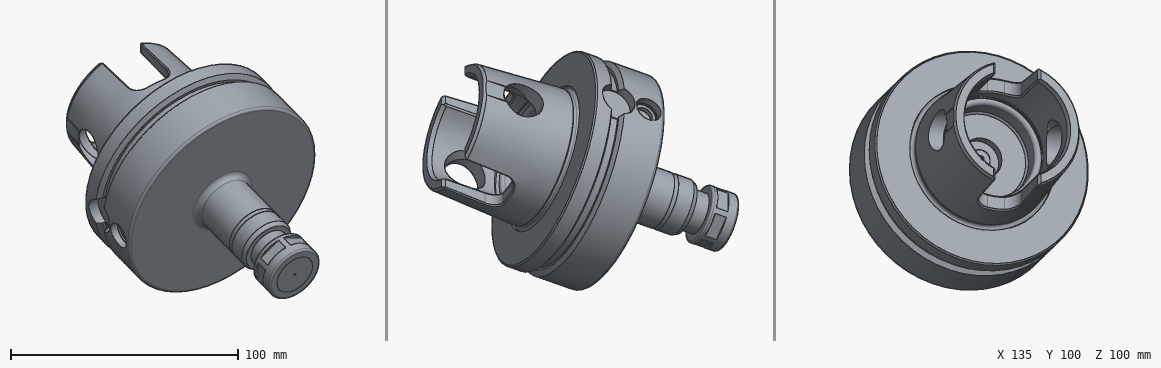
import cadquery as cq
import math


CUT_CLEARANCE = 1.4

MOUTH_RADIUS = 28.8
MOUTH_CHAMFER_LENGTH = 1.5
TAPER_SMALL_RADIUS = 29.5
TAPER_LARGE_RADIUS = 32.0
TAPER_END = 42.9
NECK_RADIUS = 31.5
NECK_START = 43.5

BORE_RADIUS = 24.2
BORE_CHAMFER = 0.8
BORE_CHAMFER_LENGTH = 2.2
BORE_END = 33.1
UNDERCUT_RADIUS = 25.5
LIP_OUTER_RADIUS = 24.8
LIP_INNER_RADIUS = 21.3
LIP_CREST = 35.1
CAVITY_FLOOR = 45.0
FLOOR_CHAMFER = 1.0

CROSS_HOLE_DIAMETER = 18.5
CROSS_HOLE_X = 19.3
CROSS_RELIEF_X = 18.1
CROSS_RELIEF_INNER_DIAMETER = 21.2
CROSS_RELIEF_OUTER_DIAMETER = 15.9
CROSS_RELIEF_START = 21.6
CROSS_RELIEF_END = 29.0
FLAT_WIDTH = 8.6
FLAT_OFFSET = 29.3
SLOT_WIDTH = 20.0
SLOT_END = 27.1
SLOT_CORNER_RADIUS = 6.1
SLOT_MOUTH_WIDENING = 1.2
SLOT_EDGE_CHAMFER = 0.7
EDGE_MARGIN = 0.1

FLANGE_DIAMETER = 100.0
FLANGE_START = 45.0
FLANGE_END = 79.1
FLANGE_CHAMFER = 0.7
FLANGE_EDGE_RADIUS = 1.2
FACE_GROOVE_RADIUS = 33.9
FACE_GROOVE_FILLET = 1.6
GRIP_GROOVE_START = 52.8
GRIP_GROOVE_END = 59.1
GRIP_GROOVE_SLOPE_LENGTH = 1.4
GRIP_GROOVE_SLOPE_RADIUS = 47.5
GRIP_GROOVE_RADIUS = 46.3

INDEX_HOLE_DIAMETER = 16.0
INDEX_HOLE_X = 56.2
INDEX_FLOOR_OFFSET = 45.1
DATA_HOLE_X = 71.0
DATA_HOLE_STEPS = ((12.0, 3.5), (11.2, 4.3), (8.0, 6.2))

STEM_DIAMETER = 26.0
STEM_ROOT_FILLET = 2.7
STEM_END = 114.9
STEM_CHAMFER_LENGTH = 2.2
STEM_CHAMFER_DEPTH = 1.1
STEM_GROOVE_START = 103.1
STEM_GROOVE_END = 105.2
STEM_GROOVE_DEPTH = 0.1
SPIGOT_DIAMETER = 19.0
TOTAL_LENGTH = 135.0

FLOOR_RECESS_DIAMETER = 18.5
FLOOR_RECESS_DEPTH = 4.0
BOSS_DIAMETER = 9.3
BOSS_TOP_DIAMETER = 8.8
BOSS_HEIGHT = 2.0
COOLANT_DIAMETER = 1.1
COOLANT_ENTRY_DIAMETER = 3.0
COOLANT_ENTRY_RIM_DIAMETER = 3.5
COOLANT_ENTRY_DEPTH = 1.4

NUT_DIAMETER = 26.9
NUT_START = 122.0
NUT_EDGE_RADIUS = 1.0
NUT_FLAT_COUNT = 6
NUT_FLAT_START = 124.3
NUT_FLAT_END = 129.9
NUT_FLAT_WIDTH = 11.1


def axial_cylinder(diameter, start, end):
    return cq.Workplane("YZ", origin=(start, 0, 0)).circle(diameter / 2).extrude(end - start)


def axial_cone(start_diameter, end_diameter, start, end):
    outline = cq.Workplane("XY").moveTo(start, 0).lineTo(start, start_diameter / 2)
    outline = outline.lineTo(end, end_diameter / 2).lineTo(end, 0).close()
    return outline.revolve(360, (0, 0, 0), (1, 0, 0))


def shank_and_stem():
    flange_radius = FLANGE_DIAMETER / 2
    stem_radius = STEM_DIAMETER / 2
    groove_radius = stem_radius - STEM_GROOVE_DEPTH
    groove_floor = FLANGE_START + FACE_GROOVE_FILLET
    arc_reach = 1 - math.sqrt(0.5)
    outline = (
        cq.Workplane("XY")
        .moveTo(0, 0)
        .lineTo(0, MOUTH_RADIUS)
        .lineTo(MOUTH_CHAMFER_LENGTH, TAPER_SMALL_RADIUS)
        .lineTo(TAPER_END, TAPER_LARGE_RADIUS)
        .lineTo(NECK_START, NECK_RADIUS)
        .lineTo(FLANGE_START, NECK_RADIUS)
        .threePointArc(
            (groove_floor - FACE_GROOVE_FILLET * arc_reach, NECK_RADIUS + FACE_GROOVE_FILLET * arc_reach),
            (groove_floor, NECK_RADIUS + FACE_GROOVE_FILLET),
        )
        .lineTo(groove_floor, FACE_GROOVE_RADIUS)
        .lineTo(FLANGE_START, FACE_GROOVE_RADIUS)
        .lineTo(FLANGE_START, flange_radius - FLANGE_CHAMFER)
        .lineTo(FLANGE_START + FLANGE_CHAMFER, flange_radius)
        .lineTo(GRIP_GROOVE_START, flange_radius)
        .lineTo(GRIP_GROOVE_START + GRIP_GROOVE_SLOPE_LENGTH, GRIP_GROOVE_SLOPE_RADIUS)
        .lineTo(GRIP_GROOVE_START + GRIP_GROOVE_SLOPE_LENGTH, GRIP_GROOVE_RADIUS)
        .lineTo(GRIP_GROOVE_END - GRIP_GROOVE_SLOPE_LENGTH, GRIP_GROOVE_RADIUS)
        .lineTo(GRIP_GROOVE_END - GRIP_GROOVE_SLOPE_LENGTH, GRIP_GROOVE_SLOPE_RADIUS)
        .lineTo(GRIP_GROOVE_END, flange_radius)
        .lineTo(FLANGE_END - FLANGE_EDGE_RADIUS, flange_radius)
        .threePointArc(
            (FLANGE_END - FLANGE_EDGE_RADIUS * arc_reach, flange_radius - FLANGE_EDGE_RADIUS * arc_reach),
            (FLANGE_END, flange_radius - FLANGE_EDGE_RADIUS),
        )
        .lineTo(FLANGE_END, stem_radius + STEM_ROOT_FILLET)
        .threePointArc(
            (FLANGE_END + STEM_ROOT_FILLET * arc_reach, stem_radius + STEM_ROOT_FILLET * arc_reach),
            (FLANGE_END + STEM_ROOT_FILLET, stem_radius),
        )
        .lineTo(STEM_GROOVE_START, stem_radius)
        .lineTo(STEM_GROOVE_START, groove_radius)
        .lineTo(STEM_GROOVE_END, groove_radius)
        .lineTo(STEM_GROOVE_END, stem_radius)
        .lineTo(STEM_END - STEM_CHAMFER_LENGTH, stem_radius)
        .lineTo(STEM_END, stem_radius - STEM_CHAMFER_DEPTH)
        .lineTo(STEM_END, SPIGOT_DIAMETER / 2)
        .lineTo(TOTAL_LENGTH, SPIGOT_DIAMETER / 2)
        .lineTo(TOTAL_LENGTH, 0)
        .close()
    )
    return outline.revolve(360, (0, 0, 0), (1, 0, 0))


def cavity():
    lip_radius = (LIP_OUTER_RADIUS - LIP_INNER_RADIUS) / 2
    outline = (
        cq.Workplane("XY")
        .moveTo(0, 0)
        .lineTo(0, BORE_RADIUS + BORE_CHAMFER)
        .lineTo(BORE_CHAMFER_LENGTH, BORE_RADIUS)
        .lineTo(BORE_END, BORE_RADIUS)
        .lineTo(BORE_END + UNDERCUT_RADIUS - BORE_RADIUS, UNDERCUT_RADIUS)
        .lineTo(LIP_CREST + lip_radius, UNDERCUT_RADIUS)
        .lineTo(LIP_CREST + lip_radius, LIP_OUTER_RADIUS)
        .threePointArc(
            (LIP_CREST, LIP_OUTER_RADIUS - lip_radius),
            (LIP_CREST + lip_radius, LIP_INNER_RADIUS),
        )
        .lineTo(CAVITY_FLOOR - FLOOR_CHAMFER, LIP_INNER_RADIUS)
        .lineTo(CAVITY_FLOOR, LIP_INNER_RADIUS - FLOOR_CHAMFER)
        .lineTo(CAVITY_FLOOR, 0)
        .close()
    )
    return outline.revolve(360, (0, 0, 0), (1, 0, 0))


def floor_recess():
    recess_floor = CAVITY_FLOOR + FLOOR_RECESS_DEPTH
    boss_top = recess_floor - BOSS_HEIGHT
    boss_chamfer = (BOSS_DIAMETER - BOSS_TOP_DIAMETER) / 2
    boss_tip = axial_cone(BOSS_TOP_DIAMETER, BOSS_DIAMETER, boss_top, boss_top + boss_chamfer)
    boss = axial_cylinder(BOSS_DIAMETER, boss_top + boss_chamfer, recess_floor).union(boss_tip)
    return axial_cylinder(FLOOR_RECESS_DIAMETER, CAVITY_FLOOR, recess_floor).cut(boss)


def coolant_hole():
    entry = CAVITY_FLOOR + FLOOR_RECESS_DEPTH - BOSS_HEIGHT
    rim_depth = (COOLANT_ENTRY_RIM_DIAMETER - COOLANT_ENTRY_DIAMETER) / 2
    rim = axial_cone(COOLANT_ENTRY_RIM_DIAMETER, COOLANT_ENTRY_DIAMETER, entry, entry + rim_depth)
    counterbore = axial_cylinder(COOLANT_ENTRY_DIAMETER, entry, entry + COOLANT_ENTRY_DEPTH)
    return axial_cylinder(COOLANT_DIAMETER, entry, TOTAL_LENGTH).union(counterbore).union(rim)


def shank_slot():
    half_width = SLOT_WIDTH / 2
    mouth_half_width = half_width + SLOT_MOUTH_WIDENING
    cut_height = 2 * (TAPER_LARGE_RADIUS + CUT_CLEARANCE)
    slot = (
        cq.Workplane("XY", origin=(0, 0, -cut_height / 2))
        .moveTo(0, -mouth_half_width)
        .lineTo(MOUTH_CHAMFER_LENGTH, -half_width)
        .lineTo(SLOT_END, -half_width)
        .lineTo(SLOT_END, half_width)
        .lineTo(MOUTH_CHAMFER_LENGTH, half_width)
        .lineTo(0, mouth_half_width)
        .close()
        .extrude(cut_height)
    )
    return slot.edges("|Z and >X").fillet(SLOT_CORNER_RADIUS)


def chamfer_slot_edges(body):
    half_width = SLOT_WIDTH / 2
    bore_band = (math.sqrt(BORE_RADIUS**2 - half_width**2), BORE_RADIUS)
    taper_band = (math.sqrt(TAPER_SMALL_RADIUS**2 - half_width**2), TAPER_LARGE_RADIUS)
    for low, high in (bore_band, taper_band):
        for bottom, top in ((low, high), (-high, -low)):
            band = cq.selectors.BoxSelector(
                (MOUTH_CHAMFER_LENGTH, -half_width - EDGE_MARGIN, bottom - EDGE_MARGIN),
                (SLOT_END + EDGE_MARGIN, half_width + EDGE_MARGIN, top + EDGE_MARGIN),
            )
            body = body.edges(band).chamfer(SLOT_EDGE_CHAMFER)
    return body


def cross_hole():
    reach = TAPER_LARGE_RADIUS + CUT_CLEARANCE
    hole_plane = cq.Workplane("XZ", origin=(CROSS_HOLE_X, reach, 0))
    return hole_plane.circle(CROSS_HOLE_DIAMETER / 2).extrude(2 * reach)


def cross_hole_relief():
    outline = (
        cq.Workplane("XY")
        .moveTo(CROSS_RELIEF_X, CROSS_RELIEF_START)
        .lineTo(CROSS_RELIEF_X + CROSS_RELIEF_INNER_DIAMETER / 2, CROSS_RELIEF_START)
        .lineTo(CROSS_RELIEF_X + CROSS_RELIEF_OUTER_DIAMETER / 2, CROSS_RELIEF_END)
        .lineTo(CROSS_RELIEF_X, CROSS_RELIEF_END)
        .close()
    )
    upper = outline.revolve(360, (CROSS_RELIEF_X, 0, 0), (CROSS_RELIEF_X, 1, 0))
    return upper.union(upper.mirror("XZ"))


def shank_flats():
    depth = TAPER_LARGE_RADIUS - FLAT_OFFSET
    block = cq.Workplane("XY").box(CROSS_HOLE_X, depth, FLAT_WIDTH, centered=(False, False, True))
    upper = block.translate((0, FLAT_OFFSET, 0))
    return upper.union(upper.mirror("XZ"))


def radial_hole(diameter, x, floor_offset):
    hole_plane = cq.Workplane("XZ", origin=(x, -floor_offset, 0))
    return hole_plane.circle(diameter / 2).extrude(FLANGE_DIAMETER / 2 + CUT_CLEARANCE - floor_offset)


def cut_data_hole(body):
    for diameter, depth in DATA_HOLE_STEPS:
        body = body.cut(radial_hole(diameter, DATA_HOLE_X, FLANGE_DIAMETER / 2 - depth))
    return body


def make_holder():
    body = shank_and_stem().cut(cavity())
    body = chamfer_slot_edges(body.cut(shank_slot()))
    body = body.cut(floor_recess()).cut(coolant_hole())
    body = body.cut(cross_hole()).cut(cross_hole_relief()).cut(shank_flats())
    body = body.cut(radial_hole(INDEX_HOLE_DIAMETER, INDEX_HOLE_X, INDEX_FLOOR_OFFSET))
    return cut_data_hole(body)


def make_nut():
    nut = axial_cylinder(NUT_DIAMETER, NUT_START, TOTAL_LENGTH).edges().fillet(NUT_EDGE_RADIUS)
    flat_offset = math.sqrt((NUT_DIAMETER / 2) ** 2 - (NUT_FLAT_WIDTH / 2) ** 2)
    flat_length = NUT_FLAT_END - NUT_FLAT_START
    flat = cq.Workplane("XY", origin=(NUT_FLAT_START, flat_offset, 0)).box(
        flat_length, NUT_DIAMETER / 2, NUT_DIAMETER / 2, centered=(False, False, True)
    )
    for index in range(NUT_FLAT_COUNT):
        nut = nut.cut(flat.rotate((0, 0, 0), (1, 0, 0), index * 360 / NUT_FLAT_COUNT))
    return nut.cut(axial_cylinder(SPIGOT_DIAMETER, NUT_START, TOTAL_LENGTH))


holder = make_holder()
nut = make_nut()
result = cq.Compound.makeCompound([holder.val(), nut.val()])